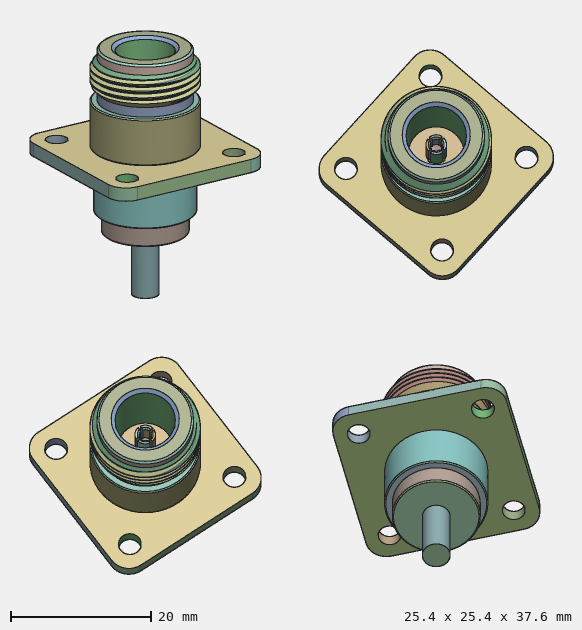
import cadquery as cq
import math

total_height = 37.6
rear_pin_length = 9.55
rear_step_top = 12.7
flange_bottom = 20.53
flange_top = 22.55
collar_top = 29.65
thread_bottom = 31.15
thread_top = 36.05

rear_pin_radius = 2.0
rear_step_radius = 6.28
rear_body_radius = 7.37
collar_radius = 7.9
neck_radius = 6.88
edge_chamfer = 0.2
neck_chamfer = 0.3

flange_side = 25.4
flange_corner_radius = 3.0
mount_hole_spacing = 18.25
mount_hole_diameter = 3.25

thread_pitch = 1.0
thread_root_radius = 7.3
thread_crest_width = 0.2
thread_half_angle = math.radians(30)

bore_mouth_radius = 4.85
bore_taper_radius = 4.3
bore_floor_radius = 4.0
bore_chamfer_depth = 0.4
bore_floor = 27.45

contact_radius = 1.45
contact_top = 32.35
contact_hole_radius = 0.85
contact_mouth_radius = 1.13
contact_hole_depth = 3.0
drill_tip_angle = math.radians(59)
contact_slot_width = 0.38
contact_slot_length = 3.1
contact_slot_floor_cut = 0.1


def cylinder(radius, bottom, top):
    """Cylinder about the Z axis between two heights."""
    return cq.Workplane("XY").workplane(offset=bottom).circle(radius).extrude(top - bottom)


def revolve_profile(points):
    """Solid of revolution about the Z axis from (radius, height) points."""
    return cq.Workplane("XZ").polyline(points).close().revolve(360, (0, 0), (0, 1))


def make_flange():
    thickness = flange_top - flange_bottom
    plate = (
        cq.Workplane("XY")
        .workplane(offset=flange_bottom)
        .rect(flange_side, flange_side)
        .extrude(thickness)
        .edges("|Z")
        .fillet(flange_corner_radius)
    )
    return (
        plate.faces(">Z")
        .workplane()
        .rect(mount_hole_spacing, mount_hole_spacing, forConstruction=True)
        .vertices()
        .hole(mount_hole_diameter)
    )


def make_thread_envelope():
    """Barrel clear of the crests, with a 45 degree cone down to the neck at each end."""
    clearance = 0.2
    outer_radius = collar_radius + clearance
    runout = outer_radius - neck_radius
    return revolve_profile([
        (0, thread_bottom),
        (neck_radius, thread_bottom),
        (outer_radius, thread_bottom + runout),
        (outer_radius, thread_top - runout),
        (neck_radius, thread_top),
        (0, thread_top),
    ])


def make_thread_ridge():
    """Helical ridge with flat crest, sunk a little into the core and longer than the thread."""
    sink = 0.08
    base_radius = thread_root_radius - sink
    flank_run = math.tan(thread_half_angle)
    crest_half_width = thread_crest_width / 2
    base_half_width = crest_half_width + (collar_radius - base_radius) * flank_run

    runout = collar_radius - neck_radius
    highest_crest = thread_top - runout
    turns_below = 5
    turns_above = 1
    start = highest_crest - turns_below * thread_pitch
    turns = turns_below + turns_above
    helix = cq.Wire.makeHelix(thread_pitch, turns * thread_pitch, base_radius, cq.Vector(0, 0, start))
    section = cq.Workplane("XZ").polyline([
        (base_radius, start - base_half_width),
        (collar_radius, start - crest_half_width),
        (collar_radius, start + crest_half_width),
        (base_radius, start + base_half_width),
    ]).close()
    return section.sweep(cq.Workplane(obj=helix), isFrenet=True)


def make_thread():
    """Threaded core, trimmed to its run-out cones at both ends."""
    core = cylinder(thread_root_radius, thread_bottom - 2 * thread_pitch, thread_top + 2 * thread_pitch)
    return core.union(make_thread_ridge()).intersect(make_thread_envelope())


def make_body():
    rear_pin = cylinder(rear_pin_radius, 0, rear_pin_length)
    rear_step = cylinder(rear_step_radius, rear_pin_length, rear_step_top).faces("<Z").chamfer(edge_chamfer)
    rear_body = cylinder(rear_body_radius, rear_step_top, flange_bottom)
    rear_body = rear_body.faces("<Z").chamfer(edge_chamfer)
    collar = cylinder(collar_radius, flange_top, collar_top).faces("<Z or >Z").chamfer(edge_chamfer)
    neck = cylinder(neck_radius, collar_top, total_height).faces(">Z").chamfer(neck_chamfer)
    thread = make_thread()

    body = make_flange()
    for section in (rear_pin, rear_step, rear_body, collar, neck, thread):
        body = body.union(section)
    return body


def make_bore():
    return revolve_profile([
        (0, bore_floor),
        (bore_floor_radius, bore_floor),
        (bore_taper_radius, total_height - bore_chamfer_depth),
        (bore_mouth_radius, total_height),
        (0, total_height),
    ])


def make_contact():
    return cylinder(contact_radius, bore_floor, contact_top)


def make_contact_hole():
    """Blind drilled hole with a 45 degree mouth."""
    hole_bottom = contact_top - contact_hole_depth
    tip_depth = contact_hole_radius / math.tan(drill_tip_angle)
    mouth_depth = contact_mouth_radius - contact_hole_radius
    return revolve_profile([
        (0, hole_bottom - tip_depth),
        (contact_hole_radius, hole_bottom),
        (contact_hole_radius, contact_top - mouth_depth),
        (contact_mouth_radius, contact_top),
        (0, contact_top),
    ])


def make_contact_slots():
    """Crossed slots that split the contact into four fingers and just mark the bore floor."""
    bottom = bore_floor - contact_slot_floor_cut
    slot = (
        cq.Workplane("XY")
        .workplane(offset=bottom)
        .rect(contact_slot_length, contact_slot_width)
        .extrude(contact_top - bottom)
    )
    slot = slot.cut(cylinder(contact_hole_radius, bottom, contact_top))
    return slot.union(slot.rotate((0, 0, 0), (0, 0, 1), 90))


result = make_body().cut(make_bore()).union(make_contact())
result = result.cut(make_contact_hole()).cut(make_contact_slots())